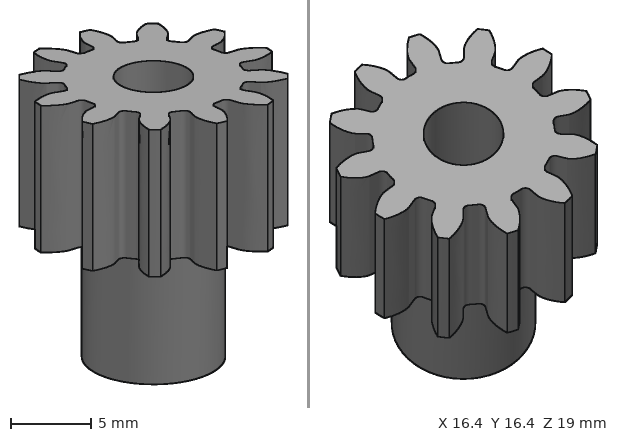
import cadquery as cq
import math

total_height = 19.0
gear_height = 10.0
hub_diameter = 9.0
bore_diameter = 5.0
tip_diameter = 16.8
tooth_count = 12
pressure_angle = math.radians(20)
dedendum_factor = 5 / 4
root_fillet = 0.4
flank_samples = 8

module = tip_diameter / (tooth_count + 2)
pitch_radius = module * tooth_count / 2
tip_radius = tip_diameter / 2
root_radius = pitch_radius - dedendum_factor * module
base_radius = pitch_radius * math.cos(pressure_angle)
tooth_pitch = 2 * math.pi / tooth_count
hub_height = total_height - gear_height


def polar(radius, angle):
    return (radius * math.cos(angle), radius * math.sin(angle))


def involute(angle):
    return math.tan(angle) - angle


def half_tooth_angle(radius):
    """Half the angular tooth thickness on an involute flank at a radius."""
    local_pressure_angle = math.acos(min(1.0, base_radius / radius))
    return tooth_pitch / 4 + involute(pressure_angle) - involute(local_pressure_angle)


def flank(center, side):
    """Involute points from base circle to tip; side is -1 or 1."""
    step = (tip_radius - base_radius) / (flank_samples - 1)
    radii = [base_radius + i * step for i in range(flank_samples)]
    return [polar(r, center + side * half_tooth_angle(r)) for r in radii]


def make_gear():
    base_half_angle = half_tooth_angle(base_radius)
    first_center = tooth_pitch / 2
    outline = cq.Workplane("XY").workplane(offset=hub_height)
    outline = outline.moveTo(*polar(root_radius, first_center - base_half_angle))
    for index in range(tooth_count):
        center = first_center + index * tooth_pitch
        rising = flank(center, -1)
        falling = flank(center, 1)[::-1]
        next_root = center + tooth_pitch - base_half_angle
        outline = outline.lineTo(*rising[0]).spline(rising[1:], includeCurrent=True)
        outline = outline.threePointArc(polar(tip_radius, center), falling[0])
        outline = outline.spline(falling[1:], includeCurrent=True)
        outline = outline.lineTo(*polar(root_radius, center + base_half_angle))
        outline = outline.threePointArc(
            polar(root_radius, center + tooth_pitch / 2), polar(root_radius, next_root)
        )
    gear = outline.close().extrude(gear_height)
    root_limit = (root_radius + base_radius) / 2
    root_edges = gear.edges("|Z").filter(
        lambda edge: math.hypot(edge.Center().x, edge.Center().y) < root_limit
    )
    return root_edges.fillet(root_fillet)


def make_hub():
    return cq.Workplane("XY").circle(hub_diameter / 2).extrude(hub_height)


def make_bore():
    return cq.Workplane("XY").circle(bore_diameter / 2).extrude(total_height)


result = make_gear().union(make_hub()).cut(make_bore())